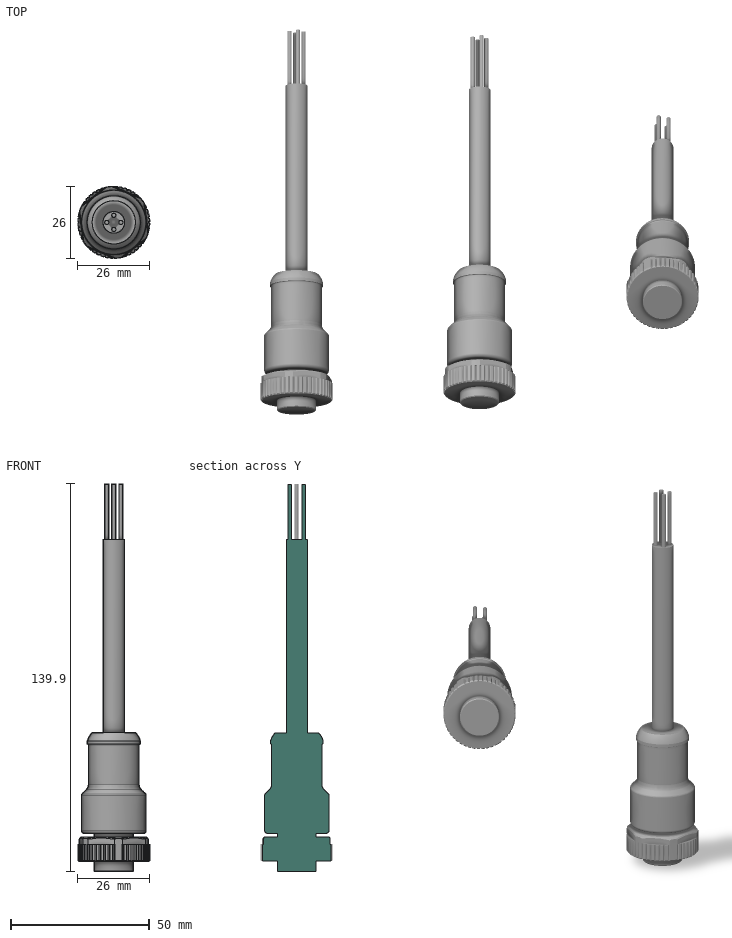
import cadquery as cq
import math

NUT_BOTTOM_Z = 3.7
KNURL_TOP_Z = 9.85
NUT_TOP_Z = 12.6
BODY_BOTTOM_Z = 13.75
SHOULDER_BOTTOM_Z = 27.85
SHOULDER_TOP_Z = 30.4
COLLAR_BOTTOM_Z = 46.0
COLLAR_EDGE_Z = 47.1
BODY_TOP_Z = 50.2
CABLE_TOP_Z = 119.9
WIRE_TOP_Z = 139.9

PLUG_RADIUS = 7.1
PLUG_CHAMFER = 0.3

NUT_RADIUS = 13.0
NUT_CORNER_COUNT = 6
NUT_CORNER_ANGLE = 277.5
NUT_CORNER_HALF_ANGLE = 6.5
NUT_TOP_RADIUS = 11.6
NUT_TOP_CHAMFER_HEIGHT = 0.6
NUT_BOTTOM_CHAMFER = 0.4
NUT_RIM_BEVEL = 0.3
KNURL_DIVISIONS = 48
KNURL_DEPTH = 0.5
KNURL_WIDTH = 0.8

BODY_RADIUS = 11.7
BODY_BOTTOM_FILLET = 1.1
BODY_SHOULDER_FILLET = 0.7
NECK_RADIUS = 9.15
NECK_FILLET = 2.6
COLLAR_RADIUS = 9.6
BODY_TOP_RADIUS = 7.8
COLLAR_BULGE = 0.2
COLLAR_ROOT_FILLET = 0.3

CABLE_RADIUS = 3.9
WIRE_RADIUS = 0.75
WIRE_CIRCLE_RADIUS = 2.55
WIRE_COUNT = 4


def cylinder(radius, bottom_z, top_z):
    return cq.Workplane("XY").workplane(offset=bottom_z).circle(radius).extrude(top_z - bottom_z)


def make_plug():
    return cylinder(PLUG_RADIUS, 0, BODY_BOTTOM_Z).faces("<Z").chamfer(PLUG_CHAMFER)


def make_hexagon_blank():
    """Round blank with six flats; the arcs left between them are the corners."""
    sector = 360 / NUT_CORNER_COUNT
    flat_half_angle = math.radians(sector / 2 - NUT_CORNER_HALF_ANGLE)
    across_flats = 2 * NUT_RADIUS * math.cos(flat_half_angle)
    across_corners = across_flats / math.cos(math.radians(sector / 2))
    hexagon = (
        cq.Workplane("XY")
        .workplane(offset=NUT_BOTTOM_Z)
        .polygon(NUT_CORNER_COUNT, across_corners)
        .extrude(NUT_TOP_Z - NUT_BOTTOM_Z)
        .rotate((0, 0, 0), (0, 0, 1), NUT_CORNER_ANGLE)
    )
    envelope = (
        cylinder(NUT_RADIUS, NUT_BOTTOM_Z, NUT_TOP_Z)
        .faces(">Z")
        .edges()
        .chamfer(NUT_TOP_CHAMFER_HEIGHT, NUT_RADIUS - NUT_TOP_RADIUS)
    )
    blank = hexagon.intersect(envelope)
    return blank.faces("%CONE").edges("not %CIRCLE").chamfer(NUT_RIM_BEVEL)


def make_knurl_cutters():
    """V grooves around the nut, left out at two opposite smooth corners."""
    pitch = 360 / KNURL_DIVISIONS
    half_turn_count = KNURL_DIVISIONS // 2
    outline = (
        cq.Workplane("XY")
        .workplane(offset=NUT_BOTTOM_Z)
        .moveTo(NUT_RADIUS - KNURL_DEPTH, 0)
        .lineTo(NUT_RADIUS + KNURL_DEPTH, KNURL_WIDTH)
        .lineTo(NUT_RADIUS + KNURL_DEPTH, -KNURL_WIDTH)
        .close()
    )
    groove = outline.extrude(KNURL_TOP_Z - NUT_BOTTOM_Z)
    cutters = []
    for index in range(KNURL_DIVISIONS):
        if index % half_turn_count != 0:
            angle = NUT_CORNER_ANGLE + index * pitch
            cutters.append(groove.rotate((0, 0, 0), (0, 0, 1), angle).val())
    return cq.Workplane(cq.Compound.makeCompound(cutters))


def make_nut():
    grip = cylinder(NUT_RADIUS, NUT_BOTTOM_Z, KNURL_TOP_Z).faces("<Z").chamfer(NUT_BOTTOM_CHAMFER)
    grip = grip.cut(make_knurl_cutters())
    upper = make_hexagon_blank().intersect(cylinder(NUT_RADIUS, KNURL_TOP_Z, NUT_TOP_Z))
    return grip.union(upper)


def circle_edge_at(radius, height):
    """Selector for a full circular edge around the Z axis."""
    margin = 0.05
    return cq.selectors.BoxSelector(
        (-radius - margin, -radius - margin, height - margin),
        (radius + margin, radius + margin, height + margin),
        boundingbox=True,
    )


def make_body():
    collar_middle_radius = (COLLAR_RADIUS + BODY_TOP_RADIUS) / 2 + COLLAR_BULGE
    collar_middle_z = (COLLAR_EDGE_Z + BODY_TOP_Z) / 2 + COLLAR_BULGE
    body = (
        cq.Workplane("XZ")
        .moveTo(0, BODY_BOTTOM_Z)
        .lineTo(BODY_RADIUS, BODY_BOTTOM_Z)
        .lineTo(BODY_RADIUS, SHOULDER_BOTTOM_Z)
        .lineTo(NECK_RADIUS, SHOULDER_TOP_Z)
        .lineTo(NECK_RADIUS, COLLAR_BOTTOM_Z)
        .lineTo(COLLAR_RADIUS, COLLAR_BOTTOM_Z)
        .lineTo(COLLAR_RADIUS, COLLAR_EDGE_Z)
        .threePointArc((collar_middle_radius, collar_middle_z), (BODY_TOP_RADIUS, BODY_TOP_Z))
        .lineTo(0, BODY_TOP_Z)
        .close()
        .revolve(360, (0, 0, 0), (0, 1, 0))
    )
    body = body.edges(circle_edge_at(BODY_RADIUS, BODY_BOTTOM_Z)).fillet(BODY_BOTTOM_FILLET)
    body = body.edges(circle_edge_at(BODY_RADIUS, SHOULDER_BOTTOM_Z)).fillet(BODY_SHOULDER_FILLET)
    body = body.edges(circle_edge_at(NECK_RADIUS, SHOULDER_TOP_Z)).fillet(NECK_FILLET)
    return body.edges(circle_edge_at(NECK_RADIUS, COLLAR_BOTTOM_Z)).fillet(COLLAR_ROOT_FILLET)


def make_wires():
    return (
        cq.Workplane("XY")
        .workplane(offset=CABLE_TOP_Z)
        .polarArray(WIRE_CIRCLE_RADIUS, 0, 360, WIRE_COUNT)
        .circle(WIRE_RADIUS)
        .extrude(WIRE_TOP_Z - CABLE_TOP_Z)
    )


result = make_plug().union(make_nut()).union(make_body())
result = result.union(cylinder(CABLE_RADIUS, BODY_TOP_Z, CABLE_TOP_Z)).union(make_wires())